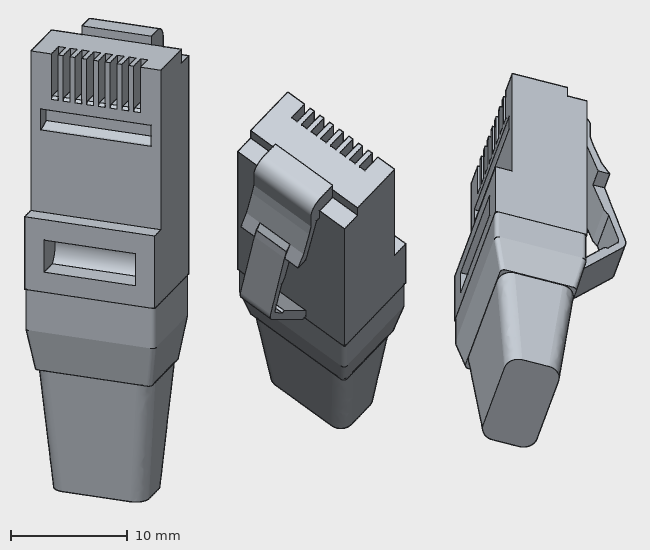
import cadquery as cq
import math


grip_top = 11.43
flare_top = 15.28
boot_top = 19.05
shoulder_top = 25.8
notch_floor = 39.35
nose_top = 40.6
hook_top = 41.4

width = 11.92
depth = 8.2
back = depth / 2
front = -depth / 2
nose_front = -2.6
notch_wall = 2.35

slot_count = 8
slot_pitch = 1.08
slot_width = 0.62
slot_depth = 1.75
slot_floor = 36.65
slot_chamfer = 0.25

window_width = 10.15
window_top = 35.35
window_bottom = 33.4
window_lip_depth = 0.3
window_depth = 1.35
window_taper_height = 0.35

recess_width = 8.35
recess_bottom = 20.9
recess_top = 23.9
recess_edge_depth = 2.0
recess_centre_depth = 2.65

hook_width = 6.38
hook_radius = 1.35
hook_foot = 38.17
hook_back = 5.25
hook_inner = 4.5
arm_width = 3.35
knee = (5.5, 37.15)
bulge_top = 34.75
bulge_back = 6.25
bulge_crest = (6.75, 34.15)
hook_arm_end = 33.35
arm_back = 7.0
thin_start = (6.95, 29.97)
thin_upper_end = (7.35, 29.35)
elbow_outer = (9.03, 25.55)
elbow_inner = (8.32, 25.8)
elbow_outer_radius = 1.4
elbow_inner_radius = 0.8
tail_step_outer = 7.3
tail_step_inner = 7.0
tail_step = 24.35
tail_outer = 4.55
tail_top = 20.45
tail_end = 19.55

flare_end_width = 10.72
flare_end_depth = 6.85
grip_width = 10.6
grip_depth = 6.8
tip_width = 8.7
tip_depth = 4.85
collar_radius = 0.37
grip_radius = 1.25


def prism(profile, prism_width):
    """Close a (Y, Z) outline and extrude it along X, centred on X = 0."""
    return profile.close().extrude(prism_width / 2, both=True)


def outline(points):
    return cq.Workplane("YZ").polyline(points)


def housing_blank():
    return prism(
        outline([
            (front, boot_top),
            (back, boot_top),
            (back, notch_floor),
            (notch_wall, notch_floor),
            (notch_wall, nose_top),
            (nose_front, nose_top),
            (nose_front, shoulder_top),
            (front, shoulder_top),
        ]),
        width,
    )


def contact_slot(x):
    """Slot open at the nose top and front, with a chamfer along the front edge of its floor."""
    slot = prism(
        outline([
            (nose_front, nose_top),
            (nose_front + slot_depth, nose_top),
            (nose_front + slot_depth, slot_floor),
            (nose_front + slot_chamfer, slot_floor),
            (nose_front, slot_floor - slot_chamfer),
        ]),
        slot_width,
    )
    return slot.translate((x, 0, 0))


def crimp_window():
    """Blind window, straight behind its lips and then narrowing towards its flat back wall."""
    lip_y = nose_front + window_lip_depth
    wall_y = nose_front + window_depth
    return prism(
        outline([
            (nose_front, window_top),
            (lip_y, window_top),
            (wall_y, window_top - window_taper_height),
            (wall_y, window_bottom + window_taper_height),
            (lip_y, window_bottom),
            (nose_front, window_bottom),
        ]),
        window_width,
    )


def grip_recess():
    """Rectangular recess whose back wall is a concave cylinder."""
    edge_y = front + recess_edge_depth
    centre = (front + recess_centre_depth, (recess_bottom + recess_top) / 2)
    profile = (
        cq.Workplane("YZ")
        .moveTo(front, recess_bottom)
        .lineTo(edge_y, recess_bottom)
        .threePointArc(centre, (edge_y, recess_top))
        .lineTo(front, recess_top)
    )
    return prism(profile, recess_width)


def make_housing():
    housing = housing_blank().cut(crimp_window()).cut(grip_recess())
    for i in range(slot_count):
        housing = housing.cut(contact_slot((i - (slot_count - 1) / 2) * slot_pitch))
    return housing


def arm_inner_y(z):
    """Inner face of the upper arm, a straight slope from the hook foot to the thin stretch."""
    thin_y, thin_z = thin_start
    return hook_inner + (hook_foot - z) * (thin_y - hook_inner) / (hook_foot - thin_z)


def latch_hook():
    """Wide top of the latch: the hook seated in the housing notch and the start of the arm."""
    arc_y = hook_back - hook_radius * (1 - math.sqrt(0.5))
    arc_z = hook_top - hook_radius * (1 - math.sqrt(0.5))
    profile = (
        cq.Workplane("YZ")
        .moveTo(notch_wall, hook_top)
        .lineTo(notch_wall, notch_floor)
        .lineTo(back, notch_floor)
        .lineTo(back, hook_foot)
        .lineTo(hook_inner, hook_foot)
        .lineTo(arm_inner_y(hook_arm_end), hook_arm_end)
        .lineTo(arm_back, hook_arm_end)
        .lineTo(bulge_back, bulge_top)
        .lineTo(*knee)
        .lineTo(hook_back, hook_foot)
        .lineTo(hook_back, hook_top - hook_radius)
        .threePointArc((arc_y, arc_z), (hook_back - hook_radius, hook_top))
    )
    return prism(profile, hook_width)


def latch_arm():
    """Narrow bent arm, thinned on its inner side around the elbow, ending on the housing back."""
    arm = prism(
        outline([
            (bulge_back, bulge_top),
            (arm_inner_y(bulge_top), bulge_top),
            thin_start,
            thin_upper_end,
            elbow_inner,
            (tail_step_outer, tail_step),
            (tail_step_inner, tail_step),
            (back, tail_top),
            (back, tail_end),
            (tail_outer, tail_end),
            elbow_outer,
            (arm_back, hook_arm_end),
            bulge_crest,
        ]),
        arm_width,
    )
    for corner, radius in ((elbow_outer, elbow_outer_radius), (elbow_inner, elbow_inner_radius)):
        arm = arm.edges(cq.NearestToPointSelector((0, *corner))).fillet(radius)
    return arm


def make_latch():
    return latch_hook().union(latch_arm())


def boot_section(top_size, bottom_size, top_z, bottom_z, corner_radius):
    """Block between two centred rectangles, with its four long edges rounded."""
    block = (
        cq.Workplane("XY", origin=(0, 0, bottom_z))
        .rect(*bottom_size)
        .workplane(offset=top_z - bottom_z)
        .rect(*top_size)
        .loft(ruled=True)
    )
    return block.edges("not(|X or |Y)").fillet(corner_radius)


def make_boot():
    collar_size = (width, depth)
    flare_end_size = (flare_end_width, flare_end_depth)
    grip_size = (grip_width, grip_depth)
    tip_size = (tip_width, tip_depth)
    collar = boot_section(collar_size, collar_size, boot_top, flare_top, collar_radius)
    flare = boot_section(collar_size, flare_end_size, flare_top, grip_top, collar_radius)
    grip = boot_section(grip_size, tip_size, grip_top, 0, grip_radius)
    return collar.union(flare).union(grip)


housing = make_housing()
latch = make_latch()
boot = make_boot()

result = cq.Compound.makeCompound([body.solids().val() for body in (housing, latch, boot)])